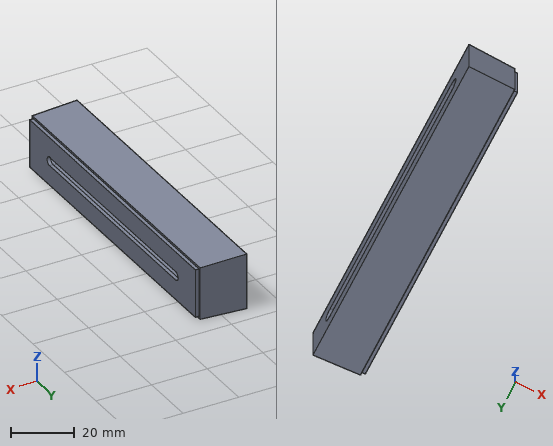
import cadquery as cq
import math

length = 108.1
height = 19.9
depth = 17.7
lip_depth = 1.3
lip_inset = 1.3
draft_angle = 2.0

pocket_length = 90.2
pocket_width = 6.2
slit_length = 83.3
slit_width = 3.0

body_depth = depth - lip_depth
taper_inset = body_depth * math.tan(math.radians(draft_angle))


def slot_cutter(slot_length, slot_width, slot_depth):
    """Round-ended slot along Y, running in +X from the large face."""
    return cq.Workplane("YZ").slot2D(slot_length, slot_width).extrude(slot_depth)


body = (
    cq.Workplane("YZ")
    .rect(length, height)
    .workplane(offset=body_depth)
    .rect(length - 2 * taper_inset, height - 2 * taper_inset)
    .loft(ruled=True)
)

lip = (
    cq.Workplane("YZ", origin=(body_depth, 0, 0))
    .rect(length - 2 * lip_inset, height - 2 * lip_inset)
    .extrude(lip_depth)
)

pocket = slot_cutter(pocket_length, pocket_width, body_depth)
slit = slot_cutter(slit_length, slit_width, depth)

result = body.union(lip).cut(pocket).cut(slit)